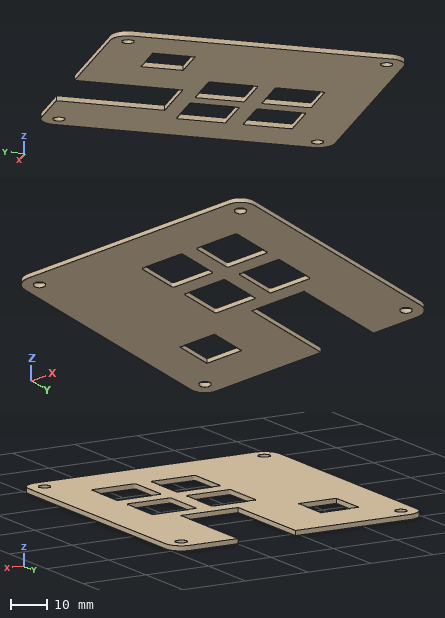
import cadquery as cq

width = 80.3
length = 84
thickness = 1.5
corner_radius = 5

hole_diameter = 3.4
hole_spacing_x = width - 2 * corner_radius
hole_spacing_y = length - 2 * corner_radius

key_size = 14.0
key_pitch = 19.1
key_corner_radius = 0.5
keys_center_x = 9.4
keys_center_y = -10.6

window_size = 12.0
window_x = -21.1
window_y = 21.6

notch_left = 1.6
notch_width = 18.2
notch_floor_y = 11.0


def make_plate():
    plate = cq.Workplane("XY").rect(width, length).extrude(thickness)
    return plate.edges("|Z").fillet(corner_radius)


def make_mounting_holes():
    holes = cq.Workplane("XY").rarray(hole_spacing_x, hole_spacing_y, 2, 2)
    return holes.circle(hole_diameter / 2).extrude(thickness)


def make_key_openings():
    centers = cq.Workplane("XY").center(keys_center_x, keys_center_y)
    openings = centers.rarray(key_pitch, key_pitch, 2, 2).rect(key_size, key_size).extrude(thickness)
    return openings.edges("|Z").fillet(key_corner_radius)


def make_window():
    center = cq.Workplane("XY").center(window_x, window_y)
    return center.rect(window_size, window_size).extrude(thickness)


def make_notch():
    corner = cq.Workplane("XY").center(notch_left, notch_floor_y)
    depth = length / 2 - notch_floor_y
    return corner.rect(notch_width, depth, centered=False).extrude(thickness)


result = (
    make_plate()
    .cut(make_mounting_holes())
    .cut(make_key_openings())
    .cut(make_window())
    .cut(make_notch())
)